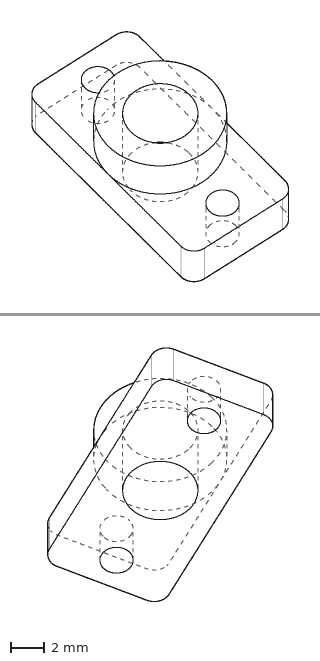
import cadquery as cq

plate_length = 16.0
plate_width = 8.0
plate_thickness = 3.0
corner_radius = 1.0

overall_height = 5.75
boss_diameter = plate_width
boss_height = overall_height - plate_thickness
bore_diameter = 4.52

mounting_hole_diameter = 2.0
mounting_hole_spacing = 12.0


def make_plate():
    """Flat plate resting on Z = 0, with rounded vertical corners."""
    plate = cq.Workplane("XY").box(
        plate_length, plate_width, plate_thickness, centered=(True, True, False)
    )
    return plate.edges("|Z").fillet(corner_radius)


def add_boss(body):
    """Cylindrical boss standing on the centre of the plate."""
    boss = (
        cq.Workplane("XY")
        .workplane(offset=plate_thickness)
        .circle(boss_diameter / 2)
        .extrude(boss_height)
    )
    return body.union(boss)


def cut_through_hole(body, x_position, diameter):
    """Vertical hole through the full height, on the X axis of the plate."""
    cutter = (
        cq.Workplane("XY")
        .center(x_position, 0)
        .circle(diameter / 2)
        .extrude(overall_height)
    )
    return body.cut(cutter)


result = add_boss(make_plate())
result = cut_through_hole(result, 0, bore_diameter)
for side in (-1, 1):
    result = cut_through_hole(result, side * mounting_hole_spacing / 2, mounting_hole_diameter)